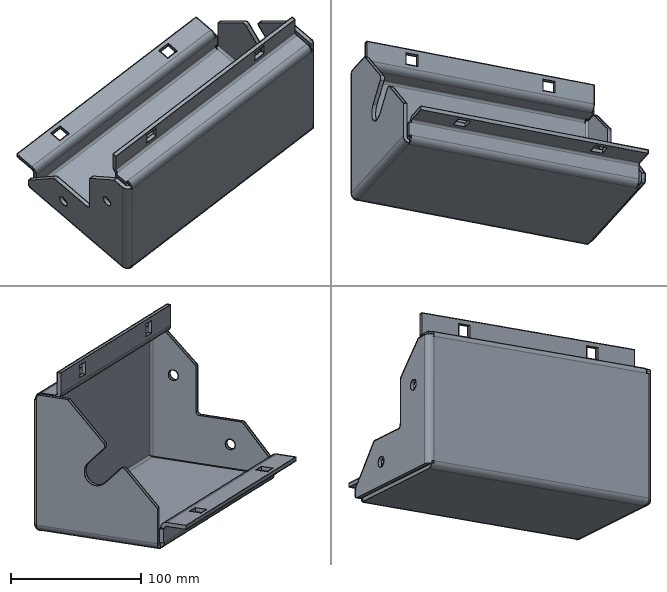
import cadquery as cq
import math


length = 200.0
reach = 129.0
thickness = 3.2
inner_radius = 2.0
outer_radius = inner_radius + thickness
gap = 0.2
bend_margin = 5.5
panel = 110.5
flange_drop = 18.5

inset = thickness + gap
plate_limit = panel - inset
bend_start = panel - outer_radius
flange_bend = panel + inner_radius

square_hole = 9.8
square_pitch = 114.0
square_inset = 8.5

free_corner_fillet = 2.5
pick_margin = 0.5

step_corner = 42.2
step_outer = 81.8
edge_end = 11.0
step_fillet = 3.0
pin_hole_diameter = 8.5
pin_near = 22.5
pin_far = 71.5

slope_offset = 140.5
slot_radius = 10.0
slot_centre = 54.5
tip_fillet = 3.0


def slab(x_range, y_range, z_range):
    """Rectangular block between pairs of limits."""
    size = [high - low for low, high in (x_range, y_range, z_range)]
    corner = (x_range[0], y_range[0], z_range[0])
    return cq.Workplane("XY").box(*size, centered=False).translate(corner)


def ring(plane, span):
    """Full tube with the section of a bend, its axis through the origin and its length span."""
    return cq.Workplane(plane).circle(outer_radius).circle(inner_radius).extrude(span)


def half_section(low):
    """Limits across the bend section on one side of its axis."""
    return (-outer_radius, 0) if low else (0, outer_radius)


def bend_along_y(x, z, toward_low_x, toward_low_z, y_range):
    """Quarter bend with its axis parallel to Y through (x, z)."""
    span = y_range[1] - y_range[0]
    sector = slab(half_section(toward_low_x), (0, span), half_section(toward_low_z))
    return ring("XZ", -span).intersect(sector).translate((x, y_range[0], z))


def round_corner(plate, x, z, radius):
    """Round the corner edge of an end plate at (x, z)."""
    low = (x - pick_margin, -pick_margin, z - pick_margin)
    high = (x + pick_margin, length + pick_margin, z + pick_margin)
    return plate.edges("|Y").edges(cq.selectors.BoxSelector(low, high)).fillet(radius)


def swap_floor_and_wall(body):
    """Mirror about z = -x, which turns the floor side into the wall side."""
    return body.mirror((1, 0, 1), (0, 0, 0))


def make_lip_and_flange(lip_span):
    """Lip over lip_span at the free edge of the floor, with its outward flange and square holes."""
    bend_span = (bend_margin, length - bend_margin)
    flange_z = (flange_drop, flange_drop + thickness)
    flange_bend_z = flange_drop - inner_radius
    body = bend_along_y(-bend_start, outer_radius, True, True, bend_span)
    body = body.union(slab((-panel, thickness - panel), lip_span, (outer_radius, flange_bend_z)))
    body = body.union(bend_along_y(-flange_bend, flange_bend_z, False, False, bend_span))
    body = body.union(slab((-reach, -flange_bend), bend_span, flange_z))
    holes = (
        cq.Workplane("XY", origin=(square_inset - reach, length / 2, flange_z[0]))
        .rarray(2, square_pitch, 1, 2)
        .rect(square_hole, square_hole)
        .extrude(thickness)
    )
    return body.cut(holes)


def make_panels():
    """Floor, wall and the bend that joins them."""
    floor = slab((-bend_start, -outer_radius), (inset, length - outer_radius), (0, thickness))
    wall = slab((-thickness, 0), (outer_radius, length - inset), (outer_radius, bend_start))
    corner = bend_along_y(-outer_radius, outer_radius, False, True, (inset, length - inset))
    return floor.union(wall).union(corner)


def make_front_plate():
    """Stepped end plate at y = 0, bent from the wall, with two pin holes."""
    outline = [
        (-outer_radius, inset),
        (-panel, inset),
        (-panel, edge_end),
        (-step_outer, step_corner),
        (-step_corner, step_corner),
        (-step_corner, step_outer),
        (-edge_end, panel),
        (-outer_radius, panel),
    ]
    plate = cq.Workplane("XZ").polyline(outline).close().extrude(-thickness)
    for x, z in outline[3:6]:
        plate = round_corner(plate, x, z, step_fillet)
    holes = (
        cq.Workplane("XZ")
        .pushPoints([(-pin_near, pin_far), (-pin_far, pin_near)])
        .circle(pin_hole_diameter / 2)
        .extrude(-thickness)
    )
    plate = plate.cut(holes)
    plate = plate.intersect(slab((-panel, 0), (0, thickness), (inset, plate_limit)))
    plate = round_corner(plate, -panel, inset, free_corner_fillet)
    height = plate_limit - inset
    bend = ring("XY", height).intersect(slab(half_section(False), half_section(True), (0, height)))
    return plate.union(bend.translate((-outer_radius, outer_radius, inset)))


def make_back_plate():
    """Sloping end plate at the far end, bent from the floor, with an open diagonal slot."""
    mouth = slot_radius * math.sqrt(2)
    tip_near = (slope_offset - mouth) / 2
    tip_far = (slope_offset + mouth) / 2
    edge_offset = slot_radius / math.sqrt(2)
    shallow = slot_centre - edge_offset
    deep = slot_centre + edge_offset
    plate = (
        cq.Workplane("XZ", origin=(0, length, 0))
        .moveTo(-inset, outer_radius)
        .lineTo(-plate_limit, outer_radius)
        .lineTo(-plate_limit, slope_offset - plate_limit)
        .lineTo(-tip_far, tip_near)
        .lineTo(-deep, shallow)
        .threePointArc((-shallow, shallow), (-shallow, deep))
        .lineTo(-tip_near, tip_far)
        .lineTo(panel - slope_offset, panel)
        .lineTo(-inset, panel)
        .close()
        .extrude(thickness)
    )
    for x, z in [(-tip_far, tip_near), (-tip_near, tip_far)]:
        plate = round_corner(plate, x, z, tip_fillet)
    plate = round_corner(plate, -inset, panel, free_corner_fillet)
    width = plate_limit - inset
    bend = ring("YZ", width).intersect(slab((0, width), half_section(False), half_section(True)))
    return plate.union(bend.translate((-plate_limit, length - outer_radius, outer_radius)))


floor_lip = make_lip_and_flange((bend_margin, length - inset))
wall_lip = swap_floor_and_wall(make_lip_and_flange((inset, length - bend_margin)))
result = (
    make_panels()
    .union(floor_lip)
    .union(wall_lip)
    .union(make_front_plate())
    .union(make_back_plate())
    .clean()
)